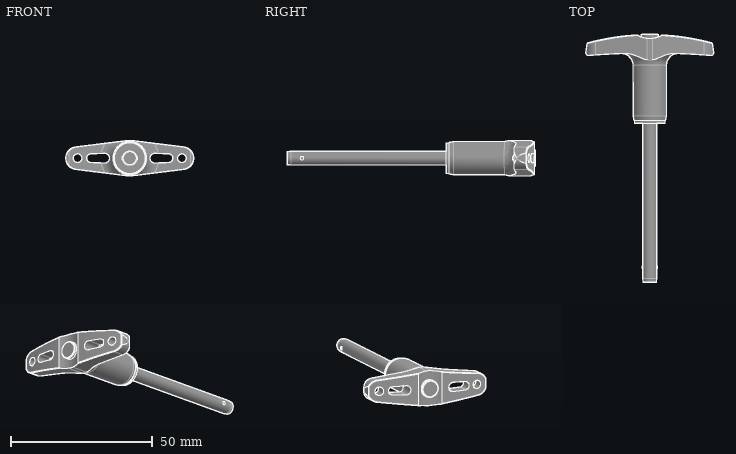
import cadquery as cq
import math


button_top = 43.8
tip_end = -43.8
barrel_end = 12.3

half_span = 22.6
top_crown = 43.6
top_radius = 83.2
underside_crown = 37.05
underside_radius = 262.8
tip_draft = math.radians(8.5)
tip_widest_height = 37.3
tip_fillet = 1.05
top_edge_chamfer = 0.22

half_width = 6.3
crest_half_length = 1.0
tip_radius = 4.0
side_taper = math.radians(7.0)

saddle_depth = 1.4
saddle_radius = 8.3
button_radius = 3.1
button_chamfer = 0.3

hole_offset = 18.4
hole_radius = 1.5
slot_inner_end = 7.2
slot_outer_end = 15.15
slot_inner_radius = 1.7
slot_outer_radius = 1.5

barrel_diameter = 11.8
barrel_radius = barrel_diameter / 2
barrel_fillet = 4.1
barrel_taper_length = 1.6
barrel_taper_radius = 5.6
collar_radius = 5.4
collar_length = 1.05

pin_diameter = 5.0
pin_radius = pin_diameter / 2
pin_taper_length = 1.3
pin_taper_depth = 0.2
ball_radius = 0.7
ball_offset = 2.1
ball_setback = 5.25

margin = 8.8
barrel_overlap = 0.9
edge_slack = 0.9


def crown_height(crown, radius, x):
    """Height at x of an arc that peaks at the given crown above x = 0."""
    return crown - radius + math.sqrt(radius**2 - x**2)


def along_y(radius, x, start, end):
    """Round bar parallel to Y at the given x."""
    return (
        cq.Workplane("XZ", origin=(0, end, 0))
        .center(x, 0)
        .circle(radius)
        .extrude(end - start)
    )


def handle_slab():
    """Arched handle profile, drawn in XY and made wider than the finished handle."""
    rough_top_y = crown_height(top_crown, top_radius, half_span)
    top_x = half_span - (rough_top_y - tip_widest_height) * math.tan(tip_draft)
    top_y = crown_height(top_crown, top_radius, top_x)
    bottom_y = crown_height(underside_crown, underside_radius, half_span)
    bottom_x = half_span + (tip_widest_height - bottom_y) * math.tan(tip_draft)
    depth = half_width + margin
    return (
        cq.Workplane("XY", origin=(0, 0, -depth))
        .moveTo(-bottom_x, bottom_y)
        .lineTo(-top_x, top_y)
        .threePointArc((0, top_crown), (top_x, top_y))
        .lineTo(bottom_x, bottom_y)
        .threePointArc((0, underside_crown), (-bottom_x, bottom_y))
        .close()
        .extrude(2 * depth)
        .edges("|Z and <Y")
        .fillet(tip_fillet)
    )


def outline_prism():
    """Tapered outline with round tips, extended along the whole handle and barrel."""
    crest_radius = crest_half_length / math.sin(side_taper)
    crest_drop = crest_radius * (1 - math.cos(side_taper))
    tip_center = half_span - tip_radius
    tangent_x = tip_center + tip_radius * math.sin(side_taper)
    tangent_z = tip_radius * math.cos(side_taper)
    crest_z = half_width - crest_drop
    return (
        cq.Workplane("XZ", origin=(0, top_crown + margin, 0))
        .moveTo(-crest_half_length, crest_z)
        .threePointArc((0, half_width), (crest_half_length, crest_z))
        .lineTo(tangent_x, tangent_z)
        .threePointArc((half_span, 0), (tangent_x, -tangent_z))
        .lineTo(crest_half_length, -crest_z)
        .threePointArc((0, -half_width), (-crest_half_length, -crest_z))
        .lineTo(-tangent_x, -tangent_z)
        .threePointArc((-half_span, 0), (-tangent_x, tangent_z))
        .close()
        .extrude(top_crown + margin - barrel_end + margin)
    )


def barrel():
    """Turned barrel with a tapered end and a smaller collar."""
    collar_top = barrel_end + collar_length
    taper_top = collar_top + barrel_taper_length
    core_top = underside_crown + barrel_overlap
    return (
        cq.Workplane("XY")
        .moveTo(0, barrel_end)
        .lineTo(collar_radius, barrel_end)
        .lineTo(collar_radius, collar_top)
        .lineTo(barrel_taper_radius, collar_top)
        .lineTo(barrel_radius, taper_top)
        .lineTo(barrel_radius, core_top)
        .lineTo(0, core_top)
        .close()
        .revolve(360, (0, 0, 0), (0, 1, 0))
    )


def saddle():
    """Cylinder along Z that hollows the middle of the handle's top."""
    depth = half_width + margin
    return (
        cq.Workplane("XY", origin=(0, 0, -depth))
        .center(0, top_crown - saddle_depth + saddle_radius)
        .circle(saddle_radius)
        .extrude(2 * depth)
    )


def slot(side):
    """Finger slot through the handle: two end arcs joined by their common tangents."""
    inner_x = slot_inner_end + slot_inner_radius
    outer_x = slot_outer_end - slot_outer_radius
    lean = math.asin((slot_inner_radius - slot_outer_radius) / (outer_x - inner_x))
    inner_tangent_x = inner_x + slot_inner_radius * math.sin(lean)
    inner_tangent_z = slot_inner_radius * math.cos(lean)
    outer_tangent_x = outer_x + slot_outer_radius * math.sin(lean)
    outer_tangent_z = slot_outer_radius * math.cos(lean)
    return (
        cq.Workplane("XZ", origin=(0, top_crown + margin, 0))
        .moveTo(side * inner_tangent_x, inner_tangent_z)
        .lineTo(side * outer_tangent_x, outer_tangent_z)
        .threePointArc((side * slot_outer_end, 0), (side * outer_tangent_x, -outer_tangent_z))
        .lineTo(side * inner_tangent_x, -inner_tangent_z)
        .threePointArc((side * slot_inner_end, 0), (side * inner_tangent_x, inner_tangent_z))
        .close()
        .extrude(top_crown + margin - barrel_end)
    )


def pin():
    """Straight pin with a slightly tapered tip."""
    taper_start = tip_end + pin_taper_length
    return (
        cq.Workplane("XY")
        .moveTo(0, tip_end)
        .lineTo(pin_radius - pin_taper_depth, tip_end)
        .lineTo(pin_radius, taper_start)
        .lineTo(pin_radius, underside_crown)
        .lineTo(0, underside_crown)
        .close()
        .revolve(360, (0, 0, 0), (0, 1, 0))
    )


joint_reach = barrel_radius + edge_slack
barrel_joint = cq.selectors.BoxSelector(
    (-joint_reach, underside_crown - edge_slack, -joint_reach),
    (joint_reach, underside_crown + edge_slack, joint_reach),
)
body = handle_slab().union(barrel())
body = body.edges(barrel_joint).fillet(barrel_fillet)
body = body.intersect(outline_prism())
top_face = cq.selectors.NearestToPointSelector((0, top_crown, 0))
body = body.faces(top_face).chamfer(top_edge_chamfer)
body = body.cut(saddle())

for side in (-1, 1):
    body = body.cut(slot(side))
    body = body.cut(along_y(hole_radius, side * hole_offset, barrel_end, top_crown + margin))

button = along_y(button_radius, 0, underside_crown, button_top)
button = button.faces(">Y").chamfer(button_chamfer)
body = body.union(button).union(pin())
for side in (-1, 1):
    ball = cq.Workplane("XY").sphere(ball_radius)
    ball = ball.translate((side * ball_offset, tip_end + ball_setback, 0))
    body = body.union(ball)

result = body